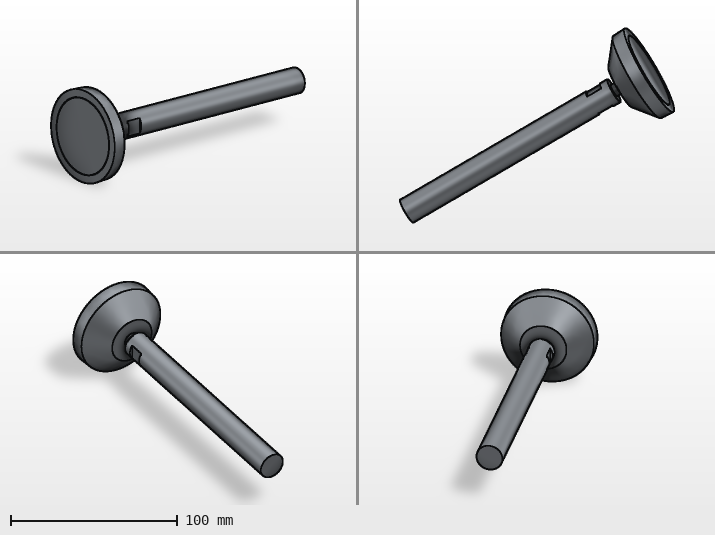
import cadquery as cq

total_length = 170.0

base_diameter = 58.0
rim_top_diameter = 57.1
base_top_diameter = 28.5
rim_height = 8.3
base_height = 20.0

stud_diameter = 16.0
stud_start = 24.6
neck_diameter = 7.8
neck_flare = 1.2
flat_spacing = 12.8
flat_start = 29.8
flat_length = 9.9

recess_diameter = 48.0
pad_diameter = 47.5
pad_thickness = 4.0


def cylinder_on_axis(diameter, start, length):
    """Cylinder along +Y, starting at the given distance from the sole."""
    plane = cq.Plane(origin=(0, start, 0), xDir=(1, 0, 0), normal=(0, 1, 0))
    return cq.Workplane(plane).circle(diameter / 2).extrude(length)


def make_turned_blank():
    """Base, neck and stud as one turned profile, with a conical flare at the neck root."""
    neck_radius = neck_diameter / 2
    return (
        cq.Workplane("XY")
        .moveTo(0, 0)
        .lineTo(base_diameter / 2, 0)
        .lineTo(rim_top_diameter / 2, rim_height)
        .lineTo(base_top_diameter / 2, base_height)
        .lineTo(neck_radius + neck_flare, base_height)
        .lineTo(neck_radius, base_height + neck_flare)
        .lineTo(neck_radius, stud_start)
        .lineTo(stud_diameter / 2, stud_start)
        .lineTo(stud_diameter / 2, total_length)
        .lineTo(0, total_length)
        .close()
        .revolve(360, (0, 0, 0), (0, 1, 0))
    )


def cut_wrench_flats(body):
    """Cut two opposite wrench flats, facing -X and +X, into the stud."""
    cut_depth = (stud_diameter - flat_spacing) / 2
    cut_center_x = (flat_spacing + cut_depth) / 2
    cut_center_y = flat_start + flat_length / 2
    cutter = cq.Workplane("XY").box(cut_depth, flat_length, stud_diameter)
    for side in (-1, 1):
        body = body.cut(cutter.translate((side * cut_center_x, cut_center_y, 0)))
    return body


def make_foot():
    """Base and stud in one piece, with a round recess in the sole for the pad."""
    recess = cylinder_on_axis(recess_diameter, 0, pad_thickness)
    return cut_wrench_flats(make_turned_blank()).cut(recess)


def make_pad():
    """Flat round pad, flush with the sole and resting on the recess floor."""
    return cylinder_on_axis(pad_diameter, 0, pad_thickness)


centering = (0, -total_length / 2, 0)
foot = make_foot().translate(centering)
pad = make_pad().translate(centering)

result = cq.Compound.makeCompound([foot.val(), pad.val()])